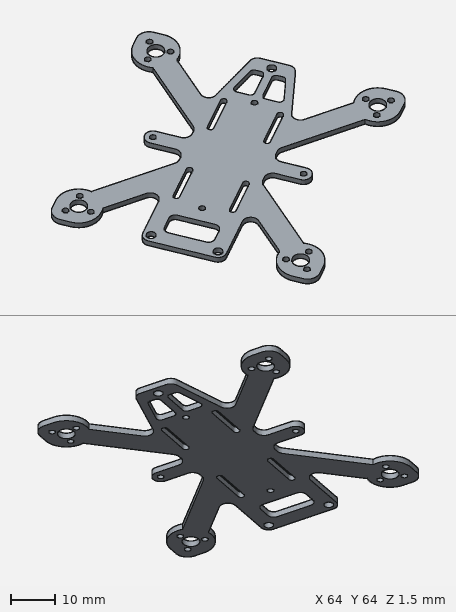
import cadquery as cq
import math

thickness = 1.5
bolt_dia = 1.5
standoff_dia = 2.2

body_half_width = 10.0
body_half_length = 32.0
nose_half_width = 5.0
nose_base_y = 14.0
corner_radius = 2.0

motor_diagonal = 75.0
motor_offset = motor_diagonal / 2 / math.sqrt(2)
mount_radius = 5.5
mount_corner_radius = 3.0
arm_width = 6.0
shaft_hole_dia = 4.0
motor_bolt_circle_radius = 3.3
motor_bolt_count = 3

tab_reach = 20.0
tab_width = 4.0
tab_hole_x = 18.0

centre_hole_y = 18.0
nose_standoff_y = 29.8
rear_standoff_y = -30.0
rear_standoff_x = 8.0

slot_width = 1.5
slot_x = 6.75
slot_inner_y = 6.5
slot_outer_y = 17.0

tail_window_width = 12.0
tail_window_front_y = -22.0
tail_window_rear_y = -28.0
tail_window_radius = 1.5

nose_window_rear_y = 20.0
nose_window_front_y = 28.0
nose_window_radius = 1.0
nose_rib_width = 2.0
nose_rail_width = 2.0

SIDES = (-1, 1)
QUADRANTS = [(sx, sy) for sx in SIDES for sy in SIDES]
nose_slope = (body_half_width - nose_half_width) / (body_half_length - nose_base_y)


def nose_edge_x(y):
    """Half width of the tapered nose at a given y."""
    return nose_half_width + (body_half_length - y) * nose_slope


def cylinders(points, diameter):
    return cq.Workplane("XY").pushPoints(points).circle(diameter / 2).extrude(thickness)


def make_body():
    outline = [
        (-body_half_width, -body_half_length),
        (body_half_width, -body_half_length),
        (body_half_width, nose_base_y),
        (nose_half_width, body_half_length),
        (-nose_half_width, body_half_length),
        (-body_half_width, nose_base_y),
    ]
    body = cq.Workplane("XY").polyline(outline).close().extrude(thickness)
    return body.edges("|Z and (<Y or >Y)").fillet(corner_radius)


def make_arm(angle):
    arm = cq.Workplane("XY").rect(motor_diagonal, arm_width).extrude(thickness)
    return arm.rotate((0, 0, 0), (0, 0, 1), angle)


def make_tabs():
    return cq.Workplane("XY").slot2D(2 * tab_reach, tab_width).extrude(thickness)


def make_motor_mount(sx, sy):
    """Round pad whose outer quarter is squared off to a rounded corner."""
    pad = cylinders([(0, 0)], 2 * mount_radius)
    corner = cq.Workplane("XY").rect(sx * mount_radius, sy * mount_radius, centered=False).extrude(thickness)
    tip = cq.selectors.NearestToPointSelector((sx * mount_radius, sy * mount_radius, thickness / 2))
    corner = corner.edges("|Z").edges(tip).fillet(mount_corner_radius)
    return pad.union(corner).translate((sx * motor_offset, sy * motor_offset, 0))


def round_inner_corners(plate):
    """Fillet the corners where arms and tabs leave the body."""
    arm_half_span = arm_width / math.sqrt(2)
    arm_inner_y = body_half_width - arm_half_span
    arm_rear_y = -(body_half_width + arm_half_span)
    arm_nose_x = (nose_edge_x(0) - nose_slope * arm_half_span) / (1 + nose_slope)
    corners = []
    for side in SIDES:
        x = side * body_half_width
        corners += [(x, side_y * tab_width / 2) for side_y in SIDES]
        corners += [(x, side_y * arm_inner_y) for side_y in SIDES]
        corners.append((x, arm_rear_y))
        corners.append((side * arm_nose_x, arm_nose_x + arm_half_span))
    for x, y in corners:
        nearest = cq.selectors.NearestToPointSelector((x, y, thickness / 2))
        plate = plate.edges("|Z").edges(nearest).fillet(corner_radius)
    return plate


def make_motor_holes(sx, sy):
    centre_x = sx * motor_offset
    centre_y = sy * motor_offset
    outward = math.atan2(sy, sx)
    bolts = []
    for i in range(motor_bolt_count):
        angle = outward + i * 2 * math.pi / motor_bolt_count
        bolt_x = centre_x + motor_bolt_circle_radius * math.cos(angle)
        bolt_y = centre_y + motor_bolt_circle_radius * math.sin(angle)
        bolts.append((bolt_x, bolt_y))
    return cylinders([(centre_x, centre_y)], shaft_hole_dia).union(cylinders(bolts, bolt_dia))


def make_body_holes():
    bolts = [(side * tab_hole_x, 0) for side in SIDES]
    bolts += [(0, side * centre_hole_y) for side in SIDES]
    standoffs = [(side * rear_standoff_x, rear_standoff_y) for side in SIDES]
    standoffs.append((0, nose_standoff_y))
    return cylinders(bolts, bolt_dia).union(cylinders(standoffs, standoff_dia))


def make_strap_slots():
    slot_y = (slot_inner_y + slot_outer_y) / 2
    centres = [(sx * slot_x, sy * slot_y) for sx, sy in QUADRANTS]
    slots = cq.Workplane("XY").pushPoints(centres)
    return slots.slot2D(slot_outer_y - slot_inner_y, slot_width, 90).extrude(thickness)


def make_tail_window():
    length = tail_window_front_y - tail_window_rear_y
    middle_y = (tail_window_front_y + tail_window_rear_y) / 2
    window = cq.Workplane("XY").center(0, middle_y).rect(tail_window_width, length).extrude(thickness)
    return window.edges("|Z").fillet(tail_window_radius)


def make_nose_window(side):
    rail_span = nose_rail_width * math.hypot(1, nose_slope)
    inner_x = side * nose_rib_width / 2
    outline = [
        (inner_x, nose_window_rear_y),
        (side * (nose_edge_x(nose_window_rear_y) - rail_span), nose_window_rear_y),
        (side * (nose_edge_x(nose_window_front_y) - rail_span), nose_window_front_y),
        (inner_x, nose_window_front_y),
    ]
    window = cq.Workplane("XY").polyline(outline).close().extrude(thickness)
    return window.edges("|Z").fillet(nose_window_radius)


plate = make_body().union(make_tabs())
for arm_angle in (45, -45):
    plate = plate.union(make_arm(arm_angle))
plate = round_inner_corners(plate)

for sx, sy in QUADRANTS:
    plate = plate.union(make_motor_mount(sx, sy))
for sx, sy in QUADRANTS:
    plate = plate.cut(make_motor_holes(sx, sy))

plate = plate.cut(make_body_holes())
plate = plate.cut(make_strap_slots())
plate = plate.cut(make_tail_window())
for side in SIDES:
    plate = plate.cut(make_nose_window(side))

result = plate